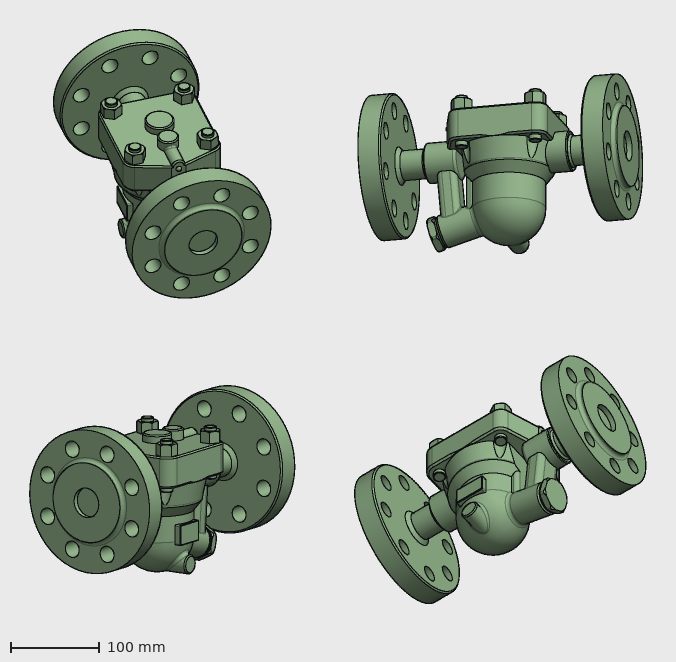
import cadquery as cq
import math


run_length = 300.0
run_middle_x = 10.2
flange_diameter = 165.0
flange_thickness = 26.0
flange_chamfer = 1.8
raised_face_diameter = 91.8
raised_face_height = 6.3
raised_face_fillet = 4.8
bolt_hole_diameter = 19.0
bolt_hole_count = 8
bolt_circle_diameter = 125.0
pipe_diameter = 34.0
weld_neck_diameter = 43.8
weld_neck_length = 4.5
boss_diameter = 46.0
boss_chamfer = 1.2
boss_cone_diameter = 38.0
boss_cone_length = 2.7
boss_end_from_middle = 84.3
right_boss_inner_x = 56.5
right_boss_fillet = 3.3

plate_bottom_z = 7.2
plate_top_z = 43.5
plate_corner_radius = 14.5
plate_top_chamfer = 1.8
plate_bottom_chamfer = 2.5
stud_offset = 43.2
plate_half_width = stud_offset + plate_corner_radius
tip_x = 70.5
tip_half_width = 8.5

stud_diameter = 14.0
stud_bottom_z = 1.2
stud_top_z = 61.2
stud_chamfer = 1.0
nut_width = 21.3
nut_top_z = 57.0
nut_chamfer = 1.2
stud_clearance_diameter = 19.0
stud_places = [(x, y) for x in (-stud_offset, stud_offset) for y in (-stud_offset, stud_offset)]

cap_top_z = 56.5
cap_chamfer = 1.5
cap_diameter = 24.0
cap_x = 31.5
channel_radius = 8.0
channel_top_z = 49.8
channel_chamfer = 1.8
channel_root_fillet = 2.5
vent_ball_radius = 3.3
vent_ball_z = 38.7

disc_diameter = 33.0
disc_bottom_z = 47.0

bowl_radius = 41.7
ball_center_z = -62.0
cone_bottom_z = -32.0
neck_bottom_z = -18.0
neck_land = 1.8
neck_radius = 51.3
neck_upper_radius = 56.7

badge_width = 36.5
badge_bottom_z = -66.0
badge_top_z = -42.3
badge_y = -45.0
badge_chamfer = 1.0
badge_corner_radius = 1.5
drain_diameter = 22.0
drain_face_diameter = 19.0
drain_z = -90.5
drain_end_y = -46.0
drain_fillet = 4.0

strainer_tilt = 15.0
strainer_diameter = 38.0
strainer_length = 82.0
strainer_chamfer = 2.5
strainer_root_fillet = 5.7
gasket_diameter = 36.0
gasket_thickness = 1.8
plug_width = 37.5
plug_height = 8.7
plug_edge_fillet = 3.0
plug_chamfer = 2.5

rib_width = 33.0
rib_root_fillet = 1.5
rib_end_z = ball_center_z - 12
inlet_rib_face_x = 46.5
inlet_rib_fillet = 5.5
outlet_rib_thickness = 23.7
outlet_rib_fillet = 7.2
outlet_rib_tilt = 5.0
outlet_rib_x = 71.0


def cylinder_z(diameter, bottom_z, top_z, x=0.0, y=0.0):
    return cq.Workplane("XY", origin=(x, y, bottom_z)).circle(diameter / 2).extrude(top_z - bottom_z)


def box(x_range, y_range, z_range):
    size = [high - low for low, high in (x_range, y_range, z_range)]
    corner = (x_range[0], y_range[0], z_range[0])
    return cq.Workplane("XY").box(*size, centered=False).translate(corner)


def make_half_run(inner_x):
    """One flange with its pipe and boss; the boss ends at inner_x, on the +X side of the bowl."""
    end_x = run_middle_x + run_length / 2
    face_x = end_x - raised_face_height
    back_x = face_x - flange_thickness
    boss_x = run_middle_x + boss_end_from_middle
    raised_radius = raised_face_diameter / 2
    flange_radius = flange_diameter / 2
    boss_radius = boss_diameter / 2
    pipe_radius = pipe_diameter / 2
    arc_radius = raised_radius + raised_face_fillet
    half_run = (
        cq.Workplane("XZ")
        .moveTo(inner_x, 0)
        .lineTo(inner_x, boss_radius)
        .lineTo(boss_x - boss_chamfer, boss_radius)
        .lineTo(boss_x, boss_radius - boss_chamfer)
        .lineTo(boss_x, boss_cone_diameter / 2)
        .lineTo(boss_x + boss_cone_length, pipe_radius)
        .lineTo(back_x - weld_neck_length, pipe_radius)
        .lineTo(back_x, weld_neck_diameter / 2)
        .lineTo(back_x, flange_radius - flange_chamfer)
        .lineTo(back_x + flange_chamfer, flange_radius)
        .lineTo(face_x, flange_radius)
        .lineTo(face_x, arc_radius)
        .radiusArc((face_x + raised_face_fillet, raised_radius), -raised_face_fillet)
        .lineTo(end_x, raised_radius)
        .lineTo(end_x, pipe_radius)
        .lineTo(face_x, pipe_radius)
        .lineTo(face_x, 0)
        .close()
        .revolve(360, (0, 0, 0), (1, 0, 0))
    )
    holes = (
        cq.Workplane("YZ", origin=(back_x, 0, 0))
        .polarArray(bolt_circle_diameter / 2, 180 / bolt_hole_count, 360, bolt_hole_count)
        .circle(bolt_hole_diameter / 2)
        .extrude(flange_thickness)
    )
    return half_run.cut(holes)


def make_pipe_run():
    right = make_half_run(right_boss_inner_x).faces("<X").edges().fillet(right_boss_fillet)
    left = make_half_run(2 * run_middle_x).mirror("YZ", (run_middle_x, 0, 0))
    return left, right


def make_plate():
    to_corner_x = stud_offset - tip_x
    to_corner_y = stud_offset - tip_half_width
    tangent_offset = math.asin(plate_corner_radius / math.hypot(to_corner_x, to_corner_y))
    slant_angle = math.atan2(to_corner_y, to_corner_x) - tangent_offset
    corner_x = tip_x + (plate_half_width - tip_half_width) / math.tan(slant_angle)
    return (
        cq.Workplane("XY", origin=(0, 0, plate_bottom_z))
        .moveTo(-plate_half_width, -plate_half_width)
        .lineTo(corner_x, -plate_half_width)
        .lineTo(tip_x, -tip_half_width)
        .lineTo(tip_x, tip_half_width)
        .lineTo(corner_x, plate_half_width)
        .lineTo(-plate_half_width, plate_half_width)
        .close()
        .extrude(plate_top_z - plate_bottom_z)
        .edges("|Z")
        .edges(">Y or <Y")
        .fillet(plate_corner_radius)
        .faces(">Z")
        .chamfer(plate_top_chamfer)
        .faces("<Z")
        .chamfer(plate_bottom_chamfer)
    )


def make_nut(x, y):
    turn = 0 if x * y > 0 else 30
    corner_diameter = nut_width / math.cos(math.radians(30))
    height = nut_top_z - plate_top_z
    nut = cq.Workplane("XY").polygon(6, corner_diameter).extrude(height)
    chamfered = cylinder_z(corner_diameter, 0, height).faces(">Z").chamfer(nut_chamfer)
    return nut.intersect(chamfered).rotate((0, 0, 0), (0, 0, 1), turn).translate((x, y, plate_top_z))


def make_stud(x, y):
    return cylinder_z(stud_diameter, stud_bottom_z, stud_top_z, x, y).faces("<Z or >Z").chamfer(stud_chamfer)


def make_vent():
    cap = cylinder_z(cap_diameter, plate_bottom_z, cap_top_z, cap_x).faces(">Z").chamfer(cap_chamfer)
    channel = (
        cq.Workplane("YZ", origin=(cap_x, 0, channel_top_z - channel_radius))
        .circle(channel_radius)
        .extrude(tip_x - cap_x)
        .faces(">X")
        .chamfer(channel_chamfer)
    )
    ball = cq.Workplane("XY").sphere(vent_ball_radius).translate((tip_x, 0, vent_ball_z))
    cap_side_x = cap_x + cap_diameter / 2
    root_low = (cap_x, -channel_radius, plate_bottom_z)
    root_high = (cap_side_x, channel_radius, channel_top_z)
    root = cq.selectors.BoxSelector(root_low, root_high)
    return cap.union(channel).edges(root).fillet(channel_root_fillet).union(ball)


def make_bowl():
    diagonal = bowl_radius / math.sqrt(2)
    bowl = (
        cq.Workplane("XZ")
        .moveTo(0, ball_center_z - bowl_radius)
        .threePointArc((diagonal, ball_center_z - diagonal), (bowl_radius, ball_center_z))
        .lineTo(bowl_radius, cone_bottom_z)
        .lineTo(neck_radius, neck_bottom_z - neck_land)
        .lineTo(neck_radius, neck_bottom_z)
        .lineTo(neck_upper_radius, plate_bottom_z)
        .lineTo(0, plate_bottom_z)
        .close()
        .revolve(360, (0, 0, 0), (0, 1, 0))
    )
    reach = plate_half_width
    beyond_rib = box((inlet_rib_face_x, tip_x), (-reach, reach), (ball_center_z, plate_bottom_z))
    bowl = bowl.cut(beyond_rib)
    for x, y in stud_places:
        bowl = bowl.cut(cylinder_z(stud_clearance_diameter, cone_bottom_z, plate_bottom_z, x, y))
    return bowl


def make_neck_pad():
    """A round pad above the neck, widening upwards; it fills the middle of the plate's lower chamfers."""
    side = 2 * plate_half_width
    pad = (
        cq.Workplane("XY", origin=(0, 0, plate_bottom_z))
        .circle(plate_half_width)
        .workplane(offset=plate_bottom_chamfer)
        .circle(plate_half_width + plate_bottom_chamfer)
        .loft()
    )
    return pad.intersect(cq.Workplane("XY").box(side, side, side))


def make_badge():
    half = badge_width / 2
    badge = box((-half, half), (badge_y, 0), (badge_bottom_z, badge_top_z))
    return badge.edges("|Y").fillet(badge_corner_radius).faces("<Y").chamfer(badge_chamfer)


def make_drain():
    drain = cq.Workplane("XZ", origin=(0, 0, drain_z)).circle(drain_diameter / 2).extrude(-drain_end_y)
    return drain.faces("<Y").chamfer((drain_diameter - drain_face_diameter) / 2)


def make_bowl_with_drain():
    ball_bottom_z = ball_center_z - bowl_radius
    root_half_width = drain_diameter / 4
    root_low = (-root_half_width, -bowl_radius, ball_bottom_z)
    root_high = (root_half_width, 0, ball_center_z)
    root = cq.selectors.BoxSelector(root_low, root_high)
    return make_bowl().union(make_drain()).edges(root).fillet(drain_fillet)


def tilt_to_strainer(shape):
    """Moves a shape built along +X from the origin onto the strainer axis."""
    return shape.rotate((0, 0, 0), (0, 1, 0), strainer_tilt).translate((0, 0, ball_center_z))


def make_strainer():
    branch = cq.Workplane("YZ").circle(strainer_diameter / 2).extrude(strainer_length)
    branch = branch.faces(">X").chamfer(strainer_chamfer)
    return tilt_to_strainer(branch.rotate((0, 0, 0), (1, 0, 0), 180))


def make_strainer_root():
    """A collar with a fillet that is tangent to the ball and to the branch."""
    radius = strainer_diameter / 2
    arc_center_r = radius + strainer_root_fillet
    arc_center_s = math.sqrt((bowl_radius + strainer_root_fillet) ** 2 - arc_center_r**2)
    on_ball = bowl_radius / (bowl_radius + strainer_root_fillet)
    collar = (
        cq.Workplane("XZ")
        .lineTo(arc_center_s * on_ball, 0)
        .lineTo(arc_center_s * on_ball, arc_center_r * on_ball)
        .radiusArc((arc_center_s, radius), -strainer_root_fillet)
        .lineTo(arc_center_s, 0)
        .close()
        .revolve(360, (0, 0, 0), (1, 0, 0))
    )
    return tilt_to_strainer(collar)


def make_plug():
    plug_start = strainer_length + gasket_thickness
    corner_diameter = plug_width / math.cos(math.radians(30))
    gasket = cq.Workplane("YZ", origin=(strainer_length, 0, 0)).circle(gasket_diameter / 2)
    gasket = gasket.extrude(gasket_thickness)
    plug = (
        cq.Workplane("YZ", origin=(plug_start, 0, 0))
        .transformed(rotate=(0, 0, 90))
        .polygon(6, corner_diameter)
        .extrude(plug_height)
        .edges("|X")
        .fillet(plug_edge_fillet)
    )
    chamfered = (
        cq.Workplane("YZ", origin=(plug_start, 0, 0))
        .circle(corner_diameter / 2)
        .extrude(plug_height)
        .faces("<X or >X")
        .chamfer(plug_chamfer)
    )
    return tilt_to_strainer(gasket.union(plug.intersect(chamfered)))


def make_inlet_rib():
    half = rib_width / 2
    rib = box((bowl_radius / 2, inlet_rib_face_x), (-half, half), (rib_end_z, plate_bottom_z))
    return rib.edges("|Z").fillet(inlet_rib_fillet)


def make_outlet_rib():
    rib = (
        cq.Workplane("XY")
        .rect(outlet_rib_thickness, rib_width)
        .extrude(rib_end_z)
        .edges("|Z")
        .fillet(outlet_rib_fillet)
    )
    return rib.rotate((0, 0, 0), (0, 1, 0), outlet_rib_tilt).translate((outlet_rib_x, 0, 0))


def round_rib_root(branch, low_x, high_x):
    """Fillets the edges where a rib between low_x and high_x stands on the branch."""
    root_low = (low_x, -rib_width, rib_end_z)
    root_high = (high_x, rib_width, ball_center_z + strainer_diameter / 2)
    return branch.edges(cq.selectors.BoxSelector(root_low, root_high)).fillet(rib_root_fillet)


def make_branch_with_ribs():
    branch = make_strainer().union(make_outlet_rib())
    branch = round_rib_root(branch, inlet_rib_face_x, strainer_length)
    branch = branch.union(make_inlet_rib())
    branch = round_rib_root(branch, 0, inlet_rib_face_x + rib_root_fillet)
    return branch.union(make_strainer_root())


def make_valve():
    valve = make_bowl_with_drain().union(make_branch_with_ribs()).union(make_badge())
    valve = valve.union(make_neck_pad()).union(make_plate())
    for half_run in make_pipe_run():
        valve = valve.union(half_run)
    valve = valve.union(make_vent()).union(make_plug())
    for x, y in stud_places:
        valve = valve.union(make_stud(x, y)).union(make_nut(x, y))
    return valve


def make_disc():
    return cylinder_z(disc_diameter, disc_bottom_z, cap_top_z).faces(">Z").chamfer(cap_chamfer)


valve = make_valve()
disc = make_disc()
result = cq.Compound.makeCompound([valve.val(), disc.val()])